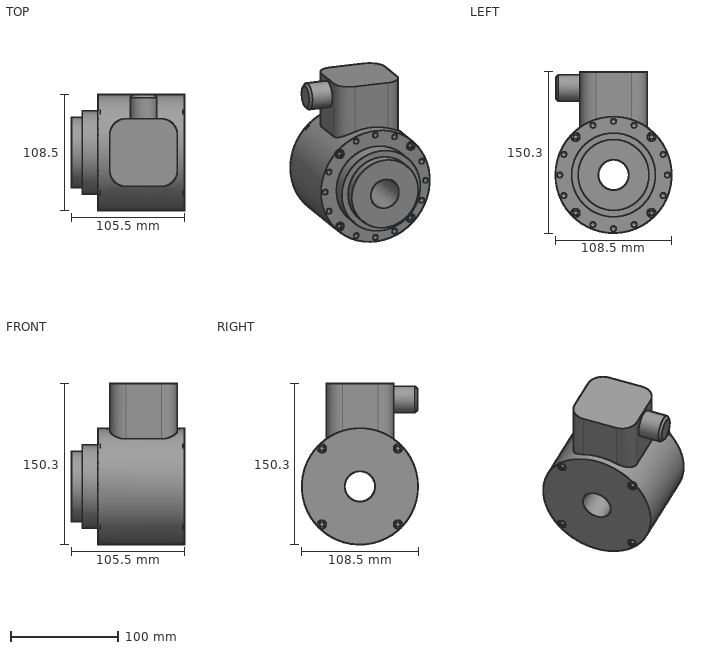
import cadquery as cq
import math

body_length = 80.75
body_diameter = 108.5
collar_length = 14.75
collar_diameter = 78.0
nose_length = 10.0
nose_diameter = 66.0
bore_diameter = 28.0

box_width = 63.0
box_corner_radius = 15.0
box_top_height = 96.0
box_front_offset = 11.0

gland_diameter = 25.0
gland_reach = 53.75
gland_top_gap = 2.5
gland_chamfer = 2.5

bolt_circle_radius = 50.0
hole_positions = 16
screw_spacing = 4
first_screw = 2
blind_hole_diameter = 5.0
blind_hole_depth = 10.0
drill_tip_angle = 118.0
screw_hole_diameter = 4.5
screw_hole_depth = 10.0
counterbore_diameter = 8.0
counterbore_depth = 2.0

box_center_x = box_front_offset + box_width / 2
gland_center_z = box_top_height - gland_top_gap - gland_diameter / 2
nose_tip_x = -(collar_length + nose_length)


def cylinder_along_x(start_x, length, diameter):
    return cq.Workplane("YZ").workplane(offset=start_x).circle(diameter / 2).extrude(length)


def make_turned_body():
    body = cylinder_along_x(0, body_length, body_diameter)
    collar = cylinder_along_x(-collar_length, collar_length, collar_diameter)
    nose = cylinder_along_x(nose_tip_x, nose_length, nose_diameter)
    return body.union(collar).union(nose)


def make_terminal_box():
    return (
        cq.Workplane("XY")
        .center(box_center_x, 0)
        .rect(box_width, box_width)
        .extrude(box_top_height)
        .edges("|Z")
        .fillet(box_corner_radius)
    )


def make_gland():
    radius = gland_diameter / 2
    half_section = [
        (0, 0),
        (radius, 0),
        (radius, gland_reach - gland_chamfer),
        (radius - gland_chamfer, gland_reach),
        (0, gland_reach),
    ]
    gland = cq.Workplane("XY").polyline(half_section).close().revolve(360, (0, 0), (0, 1))
    return gland.translate((box_center_x, 0, gland_center_z))


def make_blind_hole():
    """Drilled hole with a conical bottom, entering the front face at the axis."""
    radius = blind_hole_diameter / 2
    tip_length = radius / math.tan(math.radians(drill_tip_angle / 2))
    half_section = [
        (0, 0),
        (0, radius),
        (blind_hole_depth, radius),
        (blind_hole_depth + tip_length, 0),
    ]
    return cq.Workplane("XY").polyline(half_section).close().revolve(360, (0, 0), (1, 0))


def make_screw_holes():
    """Flat-bottomed counterbored holes, one entering from each end face."""
    front_hole = cylinder_along_x(0, screw_hole_depth, screw_hole_diameter).union(
        cylinder_along_x(0, counterbore_depth, counterbore_diameter)
    )
    rear_hole = front_hole.mirror("YZ").translate((body_length, 0, 0))
    return front_hole.union(rear_hole)


def cut_bolt_circle(part):
    for position in range(hole_positions):
        if position % screw_spacing == first_screw:
            cutter = make_screw_holes()
        else:
            cutter = make_blind_hole()
        angle = position * 360 / hole_positions
        cutter = cutter.translate((0, bolt_circle_radius, 0))
        part = part.cut(cutter.rotate((0, 0, 0), (1, 0, 0), angle))
    return part


part = make_turned_body().union(make_terminal_box()).union(make_gland())
part = part.cut(cylinder_along_x(nose_tip_x, body_length - nose_tip_x, bore_diameter))
result = cut_bolt_circle(part)